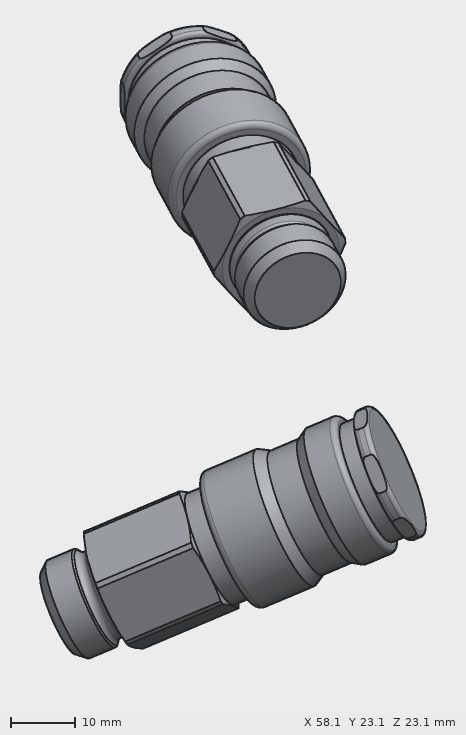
import cadquery as cq
import math


hexagon_sides = 6

overall_length = 58.1
collar_length = 2.5
sleeve_start = 5.1
waist_cone_start = 10.5
waist_start = 12.25
waist_end = 17.3
waist_cone_end = 19.25
sleeve_end = 28.75
hexagon_start = 32.0
hexagon_end = 49.15
spigot_start = 52.0
spigot_chamfer_start = 56.55

sleeve_diameter = 23.1
waist_diameter = 21.0
front_neck_diameter = 20.05
rear_neck_diameter = 18.8
spigot_diameter = 16.6
spigot_tip_diameter = 14.0
groove_slope_diameter = 15.1
groove_bottom_diameter = 14.6
groove_wall_diameter = 16.0

sleeve_fillet = 1.0

collar_diameter = 21.95
collar_fillet = 0.75
collar_flats_width = 21.1
collar_corner_angle = 30.0

hexagon_flats_width = 19.0
hexagon_corner_diameter = 21.45
hexagon_face_diameter = 18.95
hexagon_chamfer_length = 0.35
hexagon_corner_angle = 4.5

groove_slope_start = 49.3
groove_slope_end = 50.0
groove_bottom = 50.8
groove_wall_start = 51.7


def along_x(start):
    """Workplane across the X axis at the given station."""
    return cq.Workplane("YZ", origin=(start, 0, 0))


def cylinder(start, end, diameter):
    """Cylinder centred on the X axis between two stations."""
    return along_x(start).circle(diameter / 2).extrude(end - start)


def hexagonal_bar(start, end, flats_width, corner_angle):
    """Hexagonal bar with one corner turned about X by the angle, measured from the Y axis."""
    full_corner_diameter = flats_width / math.cos(math.pi / hexagon_sides)
    bar = along_x(start).polygon(hexagon_sides, full_corner_diameter).extrude(end - start)
    return bar.rotate((0, 0, 0), (1, 0, 0), corner_angle)


def make_collar():
    """Fillet-edged disc whose rim is cut by the six flats."""
    disc = cylinder(0, collar_length, collar_diameter).edges().fillet(collar_fillet)
    return disc.intersect(hexagonal_bar(0, collar_length, collar_flats_width, collar_corner_angle))


def make_hexagon():
    """Wrench hexagon: a chamfered round blank cut by a hexagonal bar."""
    bar = hexagonal_bar(hexagon_start, hexagon_end, hexagon_flats_width, hexagon_corner_angle)
    corner_drop = (hexagon_corner_diameter - hexagon_face_diameter) / 2
    blank = (
        cylinder(hexagon_start, hexagon_end, hexagon_corner_diameter)
        .faces("<X").chamfer(hexagon_chamfer_length, corner_drop)
        .faces(">X").chamfer(hexagon_chamfer_length, corner_drop)
    )
    return blank.intersect(bar)


def make_spigot():
    """Rear end: relief groove next to the hexagon, then a chamfered cylinder."""
    return (
        cq.Workplane("XY")
        .moveTo(hexagon_end, 0)
        .lineTo(hexagon_end, spigot_diameter / 2)
        .lineTo(groove_slope_start, spigot_diameter / 2)
        .lineTo(groove_slope_end, groove_slope_diameter / 2)
        .threePointArc(
            (groove_bottom, groove_bottom_diameter / 2),
            (groove_wall_start, groove_wall_diameter / 2),
        )
        .lineTo(spigot_start, spigot_diameter / 2)
        .lineTo(spigot_chamfer_start, spigot_diameter / 2)
        .lineTo(overall_length, spigot_tip_diameter / 2)
        .lineTo(overall_length, 0)
        .close()
        .revolve(360, (0, 0, 0), (1, 0, 0))
    )


def make_core():
    """One turned piece from the front collar to the spigot tip."""
    return (
        make_collar()
        .union(cylinder(collar_length, sleeve_start, front_neck_diameter))
        .union(cylinder(sleeve_start, hexagon_start, rear_neck_diameter))
        .union(make_hexagon())
        .union(make_spigot())
    )


def make_sleeve():
    """Grip sleeve with a waist between two conical shoulders, bored to fit the core."""
    bore_radius = rear_neck_diameter / 2
    outer_radius = sleeve_diameter / 2
    waist_radius = waist_diameter / 2
    ring = (
        cq.Workplane("XY")
        .polyline([
            (sleeve_start, bore_radius),
            (sleeve_start, outer_radius),
            (waist_cone_start, outer_radius),
            (waist_start, waist_radius),
            (waist_end, waist_radius),
            (waist_cone_end, outer_radius),
            (sleeve_end, outer_radius),
            (sleeve_end, bore_radius),
        ])
        .close()
        .revolve(360, (0, 0, 0), (1, 0, 0))
    )
    end_rims = cq.selectors.RadiusNthSelector(-1)
    return (
        ring
        .faces("<X").edges(end_rims).fillet(sleeve_fillet)
        .faces(">X").edges(end_rims).fillet(sleeve_fillet)
    )


core = make_core()
sleeve = make_sleeve()
result = cq.Compound.makeCompound([core.val(), sleeve.val()])